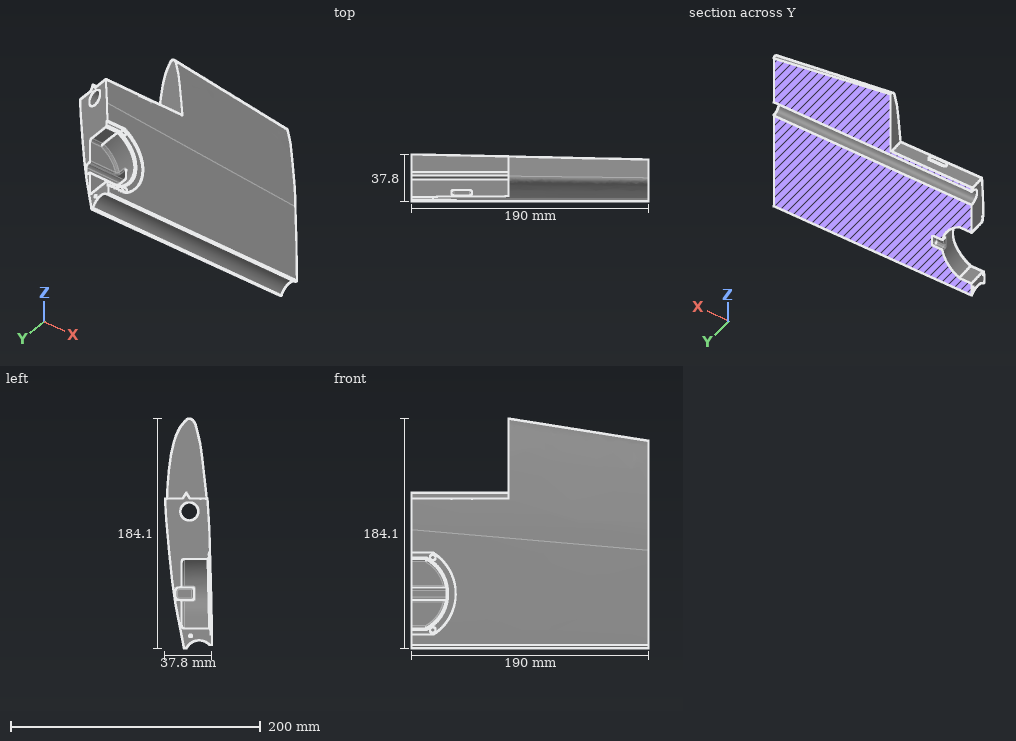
import cadquery as cq
import math

SPAN = 190.0
ROOT_CHORD = 196.5
TIP_CHORD = 166.2
TIP_THICKNESS_RATIO = 0.89
ROOT_FOLD_HEIGHT = 95.0
TIP_FOLD_HEIGHT = 78.5
FOLD_Y = 2.0
ROOT_LIP_Y = 22.6
TIP_LIP_Y = 21.3

REAR_SKIN = [(27.0, 21.8), (30.2, 40.3), (32.7, 58.9), (34.8, 79.8), (36.7, 100.7), (37.8, 119.7),
             (37.8, 133.0), (36.9, 146.9), (35.3, 160.7), (32.5, 175.0), (28.3, 186.4)]
SKIN_SEAM = (21.3, 195.5)
NOSE = (19.0, ROOT_CHORD)
FRONT_SKIN = [(16.0, 194.8), (12.5, 186.4), (9.9, 175.0), (8.0, 160.7), (6.5, 146.9), (3.6, 119.7)]
FRONT_LOWER = [(1.05, 58.9), (0.28, 26.6)]
FRONT_LIP_HEIGHT = 2.5

GROOVE_FRONT_Y = 1.9
GROOVE_REAR_Y = 20.5
GROOVE_TOP = (10.5, 6.3)

STEP_LENGTH = 77.7
STEP_HEIGHT = 119.9
RIB_Y = 20.7
RIB_WIDTH = 5.9
RIB_HEIGHT = 4.8

SPAR_DIAMETER = 14.2
SPAR_Y, SPAR_Z = 18.2, 109.6
PIN_DIAMETER = 2.0
PIN_Y, PIN_Z = 17.3, 9.9
PIN_DEPTH = 19.0

SLOT_LENGTH = 16.7
SLOT_WIDTH = 4.5
SLOT_X, SLOT_Y = 40.3, 7.0
SLOT_DEPTH = 3.8

POCKET_X = -3.2
POCKET_Z = 43.7
POCKET_RADIUS = 31.5
POCKET_HALF_HEIGHT = 27.7
POCKET_FLOOR_Y = 24.3
FLOOR_FILLET = 2.0
MOUTH_CHAMFER = 1.1
MOUTH_ANGLE = 45.0
RECESS_RADIUS = 38.8
RECESS_HALF_HEIGHT = 32.9
RECESS_FLOOR_Y = 1.9
RECESS_RISE = 1.5
RECESS_TILT = math.degrees(math.atan2(RECESS_RISE, 2 * RECESS_HALF_HEIGHT))
SCREW_DIAMETER = 4.5
SCREW_X = 17.1
SCREW_OFFSET = 29.0
SCREW_DEPTH = 9.5

CHANNEL_END_X = 38.0
CHANNEL_FLOOR_Y = 29.3
CHANNEL_FRONT_Y = 14.6
CHANNEL_HALF_WIDTH = 5.1
CHANNEL_FILLET = 2.7
CHANNEL_END_FILLET = 1.7
CHANNEL_ROLL = 1.3

OVERLAP = 9.5
TOLERANCE = 0.2


def wing_section(x, chord, thickness_ratio, fold_height, lip_y):
    """Closed section wire at station x: skins scaled from the root, hinge groove constant."""
    height_ratio = chord / ROOT_CHORD

    def scaled(y, z):
        return cq.Vector(x, y * thickness_ratio, z * height_ratio)

    def fixed(y, z):
        return cq.Vector(x, y, z)

    rear_lip = fixed(lip_y, 0)
    seam = scaled(*SKIN_SEAM)
    fold = fixed(FOLD_Y, fold_height)
    front_lip = fixed(0, FRONT_LIP_HEIGHT)
    groove_front = fixed(GROOVE_FRONT_Y, FRONT_LIP_HEIGHT)
    groove_rear = fixed(GROOVE_REAR_Y, 0)
    rear = [rear_lip] + [scaled(*p) for p in REAR_SKIN] + [seam]
    front = [seam, scaled(*NOSE)] + [scaled(*p) for p in FRONT_SKIN] + [fold]
    lower = [fold] + [scaled(*p) for p in FRONT_LOWER] + [front_lip]
    return cq.Wire.assembleEdges([
        cq.Edge.makeSpline(rear),
        cq.Edge.makeSpline(front),
        cq.Edge.makeSpline(lower),
        cq.Edge.makeLine(front_lip, groove_front),
        cq.Edge.makeThreePointArc(groove_front, fixed(*GROOVE_TOP), groove_rear),
        cq.Edge.makeLine(groove_rear, rear_lip),
    ])


def wing():
    root = wing_section(0, ROOT_CHORD, 1.0, ROOT_FOLD_HEIGHT, ROOT_LIP_Y)
    tip = wing_section(SPAN, TIP_CHORD, TIP_THICKNESS_RATIO, TIP_FOLD_HEIGHT, TIP_LIP_Y)
    return cq.Workplane(cq.Solid.makeLoft([root, tip], True))


def step_cutter():
    """Block above the step face, with the V rib left standing."""
    block = cq.Workplane("XY").box(
        STEP_LENGTH + OVERLAP, 2 * ROOT_CHORD, ROOT_CHORD, centered=(False, True, False)
    ).translate((-OVERLAP, RIB_Y, STEP_HEIGHT))
    rib = (
        cq.Workplane("YZ")
        .moveTo(RIB_Y - RIB_WIDTH / 2, STEP_HEIGHT)
        .lineTo(RIB_Y, STEP_HEIGHT + RIB_HEIGHT)
        .lineTo(RIB_Y + RIB_WIDTH / 2, STEP_HEIGHT)
        .close()
        .extrude(STEP_LENGTH)
    )
    return block.cut(rib)


def span_hole(y, z, diameter, depth):
    return cq.Workplane("YZ").center(y, z).circle(diameter / 2).extrude(depth)


def slot_cutter():
    """Round-ended slot whose floor curves up at both ends."""
    outline = (
        cq.Workplane("XY", origin=(SLOT_X, SLOT_Y, STEP_HEIGHT))
        .slot2D(SLOT_LENGTH, SLOT_WIDTH)
        .extrude(-SLOT_DEPTH)
    )
    floor = (
        cq.Workplane("XY", origin=(SLOT_X, SLOT_Y, STEP_HEIGHT - SLOT_DEPTH / 2))
        .box(SLOT_LENGTH, SLOT_WIDTH, SLOT_DEPTH)
        .edges("|Y and <Z")
        .fillet(SLOT_WIDTH / 2)
    )
    return outline.intersect(floor)


def round_ended(y, radius, half_height):
    """Straight-sided outline with a round +X end, on the plane at y and facing -Y."""
    corner_x = math.sqrt(radius**2 - half_height**2)
    return (
        cq.Workplane("XZ", origin=(POCKET_X, y, POCKET_Z))
        .moveTo(-OVERLAP, half_height)
        .lineTo(corner_x, half_height)
        .threePointArc((radius, 0), (corner_x, -half_height))
        .lineTo(-OVERLAP, -half_height)
        .close()
    )


def tilted(cutter):
    """Lean a cutter over to follow the slope of the front skin."""
    centre = cq.Vector(POCKET_X, RECESS_FLOOR_Y, POCKET_Z)
    return cutter.rotate(centre.toTuple(), (centre + cq.Vector(1.9, 0, 0)).toTuple(), -RECESS_TILT)


def recess_cutter():
    """Shallow cover seat whose floor follows the slope of the front skin."""
    seat = round_ended(RECESS_FLOOR_Y, RECESS_RADIUS, RECESS_HALF_HEIGHT).extrude(OVERLAP)
    return tilted(seat)


def pocket_cutter():
    depth = POCKET_FLOOR_Y - RECESS_FLOOR_Y
    pocket = round_ended(POCKET_FLOOR_Y, POCKET_RADIUS, POCKET_HALF_HEIGHT).extrude(depth + OVERLAP)
    pocket = pocket.faces(">Y").edges("not <X").fillet(FLOOR_FILLET)
    mouth = round_ended(
        RECESS_FLOOR_Y + MOUTH_CHAMFER, POCKET_RADIUS, POCKET_HALF_HEIGHT
    ).extrude(2 * MOUTH_CHAMFER, taper=-MOUTH_ANGLE)
    return pocket.union(tilted(mouth))


def screw_holes():
    return (
        cq.Workplane("XZ", origin=(SCREW_X, 0, POCKET_Z))
        .pushPoints([(0, SCREW_OFFSET), (0, -SCREW_OFFSET)])
        .circle(SCREW_DIAMETER / 2)
        .extrude(-(RECESS_FLOOR_Y + SCREW_DEPTH))
    )


def servo_cutter():
    """Pocket joined with a channel across its floor and into its wall, with a rolled channel mouth."""
    channel = (
        cq.Workplane("XY")
        .box(CHANNEL_END_X + OVERLAP, CHANNEL_FLOOR_Y - CHANNEL_FRONT_Y, 2 * CHANNEL_HALF_WIDTH,
             centered=(False, False, True))
        .edges(">Y and |X")
        .fillet(CHANNEL_FILLET)
        .faces(">X")
        .edges()
        .fillet(CHANNEL_END_FILLET)
        .translate((-OVERLAP, CHANNEL_FRONT_Y, POCKET_Z))
    )
    cutter = pocket_cutter().union(channel)
    wall_x = POCKET_X + POCKET_RADIUS
    mouth_half_width = CHANNEL_HALF_WIDTH + TOLERANCE
    pocket_side = cq.selectors.BoxSelector(
        (0, CHANNEL_FRONT_Y - TOLERANCE, POCKET_Z - mouth_half_width),
        (wall_x, POCKET_FLOOR_Y + TOLERANCE, POCKET_Z + mouth_half_width),
    )
    wall_corners = cq.selectors.BoxSelector(
        (wall_x, CHANNEL_FRONT_Y - TOLERANCE, POCKET_Z - mouth_half_width),
        (CHANNEL_END_X - TOLERANCE, CHANNEL_FRONT_Y + TOLERANCE, POCKET_Z + mouth_half_width),
    )
    return cutter.edges(pocket_side + wall_corners).fillet(CHANNEL_ROLL)


result = (
    wing()
    .cut(step_cutter())
    .cut(span_hole(SPAR_Y, SPAR_Z, SPAR_DIAMETER, SPAN))
    .cut(span_hole(PIN_Y, PIN_Z, PIN_DIAMETER, PIN_DEPTH))
    .cut(slot_cutter())
    .cut(recess_cutter())
    .cut(servo_cutter())
    .cut(screw_holes())
)